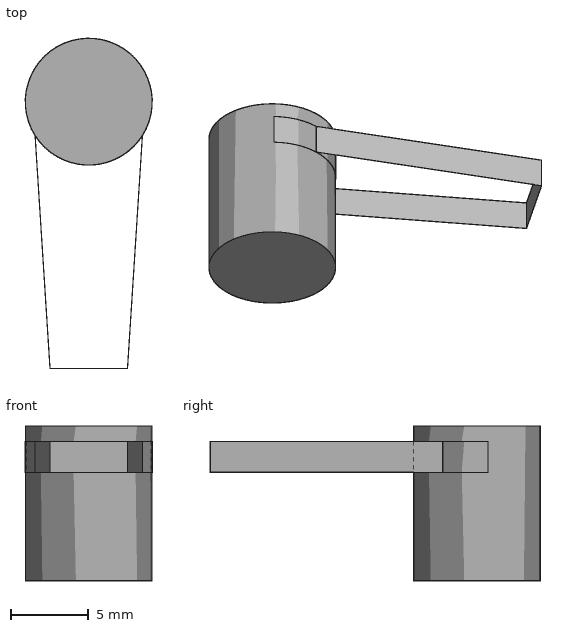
import cadquery as cq
import math

overall_length = 21.3
strap_thickness = 0.01
strap_height = 2.0
strap_top_gap = 1.0
strap_end_width = 5.0
strap_root_y = -2.2

wrap_diameter = 8.2
wrap_end_y = 0.7

body_height = 10.0
wrap_radius = wrap_diameter / 2
body_radius = wrap_radius - strap_thickness

strap_bottom = body_height - strap_top_gap - strap_height
strap_end_y = body_radius - overall_length


def make_body():
    return cq.Workplane("XY").circle(body_radius).extrude(body_height)


def half_width_at(radius, y):
    """Half the width in X of a circle of the given radius at height y."""
    return math.sqrt(radius**2 - y**2)


def make_wrap():
    """Thin curved band around the front of the body."""
    outer_x = half_width_at(wrap_radius, wrap_end_y)
    inner_x = half_width_at(body_radius, wrap_end_y)
    return (
        cq.Workplane("XY", origin=(0, 0, strap_bottom))
        .moveTo(-outer_x, wrap_end_y)
        .threePointArc((0, -wrap_radius), (outer_x, wrap_end_y))
        .lineTo(inner_x, wrap_end_y)
        .threePointArc((0, -body_radius), (-inner_x, wrap_end_y))
        .close()
        .extrude(strap_height)
    )


def strap_prism(inset):
    """Tapered four-sided prism, set in from the outer strap faces by inset."""
    root_half_width = half_width_at(wrap_radius, strap_root_y) - inset
    end_half_width = strap_end_width / 2 - inset
    end_y = strap_end_y + inset
    return (
        cq.Workplane("XY", origin=(0, 0, strap_bottom))
        .moveTo(-root_half_width, strap_root_y)
        .lineTo(-end_half_width, end_y)
        .lineTo(end_half_width, end_y)
        .lineTo(root_half_width, strap_root_y)
        .close()
        .extrude(strap_height)
    )


def make_loop():
    return strap_prism(0).cut(strap_prism(strap_thickness))


result = make_body().union(make_wrap()).union(make_loop())